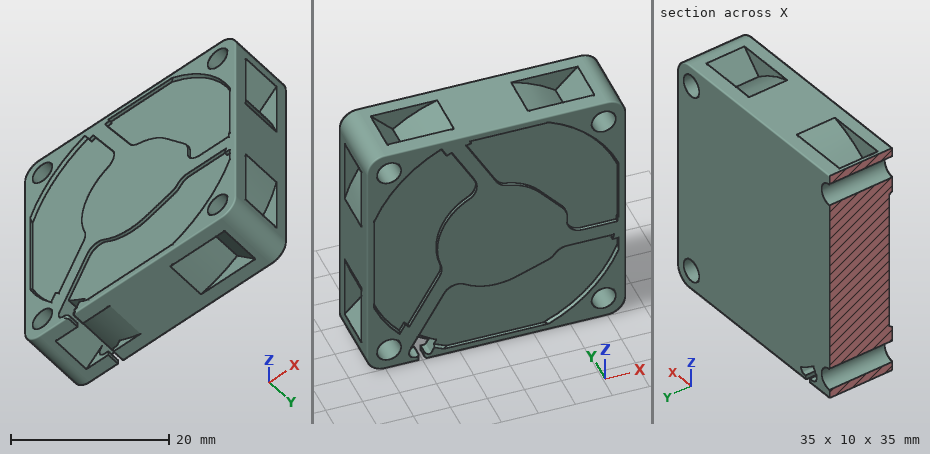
import cadquery as cq
import math

SIDE = 35.0
THICKNESS = 10.0
CORNER_RADIUS = 2.45
EDGE_RADIUS = 0.2
FRONT_Y = -THICKNESS / 2

HOLE_DIAMETER = 3.25
HOLE_PITCH = 29.0

OPENING_WIDTH = 6.02
HOUSING_RADIUS = 18.2
OPENING_START = 14.0
PLATE_THICKNESS = (THICKNESS - OPENING_WIDTH) / 2

RECESS_DEPTH = 0.5
RECESS_FLOOR_Y = FRONT_Y + RECESS_DEPTH
RECESS_SIDE = 33.08
RECESS_RADIUS = 18.0
RECESS_FLOOR_RADIUS = 17.78

HUB_RADIUS = 7.98
ARM_NEAR = 2.4
ARM_FAR = 4.45
ARM_MIDDLE = (ARM_NEAR + ARM_FAR) / 2
FOOT_RADIUS = 16.52
FOOT_STEP = 0.7
BLEND_RADIUS = 2.0
LOBE_TOP = (7.55, 0.52)
LOBE_BOTTOM = (6.25, -4.13)
ARM_ANGLES = (0, 120, 240)

CABLE_ANGLE = ARM_ANGLES[2]
CABLE_FAR_SIDE = -0.7
CHANNEL_RADIUS = 17.1
LIP_THICKNESS = 0.7
LIP_Z = LIP_THICKNESS - SIDE / 2
CABLE_BLEND_LARGE = 0.9
CABLE_BLEND_SMALL = 0.3
MOUTH_LEFT = -10.35
MOUTH_RIGHT = -9.52
MOUTH_EDGE_RADIUS = 0.5

REACH = SIDE


def front_plane(y):
    """Sketch plane at height y with local axes X and Z; positive extrusion runs toward -Y."""
    return cq.Workplane("XZ", origin=(0, y, 0))


def disc(radius, back_y, depth):
    return front_plane(back_y).circle(radius).extrude(depth)


def polygon(points, back_y, depth):
    return front_plane(back_y).polyline(points).close().extrude(depth)


def turned(shape, angle):
    """Turn a shape about the fan axis, anticlockwise as seen from the front."""
    return shape.rotate((0, 0, 0), (0, -1, 0), angle)


def turned_point(x, z, angle):
    """The point (x, z) turned about the fan axis."""
    a = math.radians(angle)
    return x * math.cos(a) - z * math.sin(a), x * math.sin(a) + z * math.cos(a)


def band(near, far, back_y, depth):
    """Strip running outward along +X between two offsets below the fan axis."""
    return polygon([(0, -near), (REACH, -near), (REACH, -far), (0, -far)], back_y, depth)


def block():
    body = cq.Workplane("XY").box(SIDE, THICKNESS, SIDE)
    body = body.edges("|Y").fillet(CORNER_RADIUS)
    return body.faces("<Y or >Y").edges().fillet(EDGE_RADIUS)


def mounting_holes():
    return (
        front_plane(THICKNESS / 2)
        .rect(HOLE_PITCH, HOLE_PITCH, forConstruction=True)
        .vertices()
        .circle(HOLE_DIAMETER / 2)
        .extrude(THICKNESS)
    )


def side_openings():
    """Wedges between the round fan housing and a wall parallel to the corner diagonal."""
    half = SIDE / 2
    inner_end = math.sqrt(HOUSING_RADIUS**2 - half**2)
    drop = OPENING_START - inner_end
    wedge = polygon(
        [(OPENING_START, half), (inner_end, half), (inner_end, half - drop)],
        OPENING_WIDTH / 2,
        OPENING_WIDTH,
    )
    wedge = wedge.cut(disc(HOUSING_RADIUS, OPENING_WIDTH / 2, OPENING_WIDTH))
    pair = wedge.union(wedge.mirror("YZ"))
    openings = pair
    for angle in (90, 180, 270):
        openings = openings.union(turned(pair, angle))
    return openings


def tangent_points(center, side):
    """Where a line touches the hub and a lobe corner; side is 1 for the upper line, -1 for the lower."""
    heading = math.atan2(center[1], center[0])
    spread = math.acos((HUB_RADIUS - BLEND_RADIUS) / math.hypot(*center))
    angle = heading + side * spread
    normal = (math.cos(angle), math.sin(angle))
    on_hub = (HUB_RADIUS * normal[0], HUB_RADIUS * normal[1])
    on_lobe = (center[0] + BLEND_RADIUS * normal[0], center[1] + BLEND_RADIUS * normal[1])
    return on_hub, on_lobe


def hub_and_arms():
    """Hub with a lobe on its right and three arms, blended where they meet."""
    island = disc(HUB_RADIUS, RECESS_FLOOR_Y, RECESS_DEPTH)
    top_hub, top_lobe = tangent_points(LOBE_TOP, 1)
    bottom_hub, bottom_lobe = tangent_points(LOBE_BOTTOM, -1)
    lobe_side = LOBE_TOP[0] + BLEND_RADIUS
    outline = [
        (0, 0),
        top_hub,
        top_lobe,
        LOBE_TOP,
        (lobe_side, LOBE_TOP[1]),
        (lobe_side, -ARM_MIDDLE),
        LOBE_BOTTOM,
        bottom_lobe,
        bottom_hub,
    ]
    island = island.union(polygon(outline, RECESS_FLOOR_Y, RECESS_DEPTH))
    for center in (LOBE_TOP, LOBE_BOTTOM):
        lobe = front_plane(RECESS_FLOOR_Y).center(*center).circle(BLEND_RADIUS).extrude(RECESS_DEPTH)
        island = island.union(lobe)
    for angle in ARM_ANGLES:
        island = island.union(turned(band(ARM_NEAR, ARM_FAR, RECESS_FLOOR_Y, RECESS_DEPTH), angle))

    hub_near = math.sqrt(HUB_RADIUS**2 - ARM_NEAR**2)
    hub_far = math.sqrt(HUB_RADIUS**2 - ARM_FAR**2)
    lobe_far = LOBE_BOTTOM[0] + math.sqrt(BLEND_RADIUS**2 - (ARM_FAR + LOBE_BOTTOM[1]) ** 2)
    corners = [(lobe_side, ARM_NEAR, ARM_ANGLES[0]), (lobe_far, ARM_FAR, ARM_ANGLES[0])]
    for angle in ARM_ANGLES[1:]:
        corners.append((hub_near, ARM_NEAR, angle))
        corners.append((hub_far, ARM_FAR, angle))
    for along, offset, angle in corners:
        x, z = turned_point(along, -offset, angle)
        corner = cq.selectors.NearestToPointSelector((x, RECESS_FLOOR_Y - RECESS_DEPTH / 2, z))
        island = island.edges("|Y").edges(corner).fillet(BLEND_RADIUS)
    return island


def arm_feet():
    """Wider ends of the arms outside the foot radius; the cable side of its arm stays straight."""
    feet = cq.Workplane("XY")
    for angle in ARM_ANGLES:
        near = ARM_NEAR if angle == CABLE_ANGLE else ARM_NEAR - FOOT_STEP
        feet = feet.add(turned(band(near, ARM_FAR + FOOT_STEP, RECESS_FLOOR_Y, RECESS_DEPTH), angle))
    return feet.combine().cut(disc(FOOT_RADIUS, RECESS_FLOOR_Y, RECESS_DEPTH))


def front_recess():
    """Round recess with a slightly tapered wall, flattened on four sides, around the hub and arms."""
    taper = math.degrees(math.atan((RECESS_FLOOR_RADIUS - RECESS_RADIUS) / RECESS_DEPTH))
    recess = front_plane(RECESS_FLOOR_Y).circle(RECESS_FLOOR_RADIUS).extrude(RECESS_DEPTH, taper=taper)
    recess = recess.intersect(front_plane(RECESS_FLOOR_Y).rect(RECESS_SIDE, RECESS_SIDE).extrude(RECESS_DEPTH))
    return recess.cut(hub_and_arms()).cut(arm_feet())


def slot_right_at_lip():
    """X where the slot's right wall meets the lip."""
    x, z = turned_point(0, -CABLE_FAR_SIDE, CABLE_ANGLE)
    return x + (LIP_Z - z) / math.tan(math.radians(CABLE_ANGLE))


def cable_slot():
    """Slot through the thickness along an arm, with a channel in the front plate and a narrow mouth."""
    back_y = THICKNESS / 2
    strip = turned(band(ARM_NEAR, CABLE_FAR_SIDE, back_y, THICKNESS), CABLE_ANGLE)
    above_lip = front_plane(back_y).center(0, LIP_Z + REACH / 2).rect(2 * REACH, REACH).extrude(THICKNESS)
    strip = strip.intersect(above_lip)
    strip = strip.edges("|Y and <X").fillet(CABLE_BLEND_LARGE)
    corner = cq.selectors.NearestToPointSelector((slot_right_at_lip(), 0, LIP_Z))
    strip = strip.edges("|Y").edges(corner).fillet(CABLE_BLEND_SMALL)

    through = strip.cut(disc(HOUSING_RADIUS, back_y, THICKNESS))
    channel = strip.cut(disc(CHANNEL_RADIUS, back_y, THICKNESS))
    plate_back_y = FRONT_Y + PLATE_THICKNESS
    front_plate = front_plane(plate_back_y).rect(2 * REACH, 2 * REACH).extrude(PLATE_THICKNESS)
    channel = channel.intersect(front_plate)
    return through.union(channel).union(cable_mouth())


def cable_mouth():
    """Gap through the lip, flared at the front by rounded edges."""
    r = MOUTH_EDGE_RADIUS
    bend = r * math.sqrt(0.5)
    return (
        cq.Workplane("XY", origin=(0, 0, -SIDE / 2))
        .moveTo(MOUTH_LEFT, THICKNESS / 2)
        .lineTo(MOUTH_RIGHT, THICKNESS / 2)
        .lineTo(MOUTH_RIGHT, FRONT_Y + r)
        .threePointArc((MOUTH_RIGHT + r - bend, FRONT_Y + r - bend), (MOUTH_RIGHT + r, FRONT_Y))
        .lineTo(MOUTH_LEFT - r, FRONT_Y)
        .threePointArc((MOUTH_LEFT - r + bend, FRONT_Y + r - bend), (MOUTH_LEFT, FRONT_Y + r))
        .close()
        .extrude(LIP_THICKNESS)
    )


result = (
    block()
    .cut(mounting_holes())
    .cut(side_openings())
    .cut(front_recess())
    .cut(cable_slot())
)